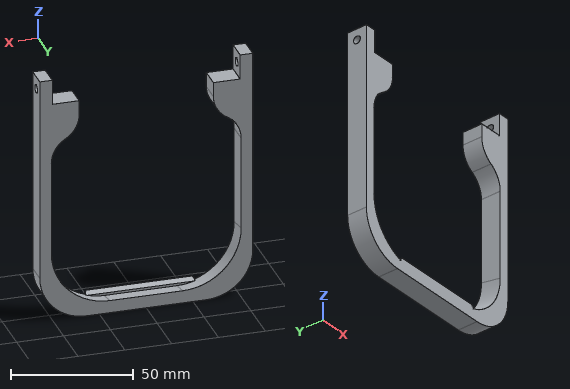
import cadquery as cq
import math

WIDTH = 91.0
DEPTH = 10.0
HEIGHT = 109.0
HALF_WIDTH = WIDTH / 2
OUTER_RADIUS = 20.0

WALL = 5.0
INNER_RADIUS = 25.0
FRONT_FLOOR = 3.8
FLOOR_ANGLE = 10.0
INNER_HALF = HALF_WIDTH - WALL
FLOOR_RISE = DEPTH * math.tan(math.radians(FLOOR_ANGLE))
SPLIT_HEIGHT = 49.0

TAB_THICKNESS = 5.5
TAB_HEIGHT = 10.9
NOSE_REACH = 16.9
NOSE_FACE = 6.3
NOSE_ARC_ANGLE = 60.0
HOLE_DIAMETER = 3.6
HOLE_DROP = 5.5

LIP_LENGTH = 46.7
LIP_DEPTH = 2.0
LIP_FRONT_HEIGHT = 6.8
LIP_BACK_HEIGHT = 5.2
LIP_END_BEVEL = 0.8


def outer_block():
    block = cq.Workplane("XY").box(WIDTH, DEPTH, HEIGHT, centered=(True, False, False))
    return block.edges("|Y and <Z").fillet(OUTER_RADIUS)


def lower_opening():
    """Rounded-bottom opening swept backwards along the rising floor."""
    height = SPLIT_HEIGHT - FRONT_FLOOR
    front = (
        cq.Workplane("XZ")
        .center(0, FRONT_FLOOR + height / 2)
        .rect(2 * INNER_HALF, height)
        .extrude(-DEPTH)
        .edges("|Y and <Z")
        .fillet(INNER_RADIUS)
        .faces("<Y")
        .wires()
        .val()
    )
    sweep = cq.Vector(0, DEPTH, FLOOR_RISE)
    return cq.Workplane(obj=cq.Solid.extrudeLinear(front, [], sweep))


def upper_opening():
    return (
        cq.Workplane("XY")
        .workplane(offset=SPLIT_HEIGHT)
        .rect(2 * INNER_HALF, 2 * DEPTH)
        .extrude(HEIGHT - SPLIT_HEIGHT)
    )


def left_nose_and_tab():
    """Tab and nose; two equal tangent arcs lead the nose back to the wall."""
    wall_x = -INNER_HALF
    tab_x = -HALF_WIDTH + TAB_THICKNESS
    nose_x = -HALF_WIDTH + NOSE_REACH
    shelf_z = HEIGHT - TAB_HEIGHT
    arc_top = shelf_z - NOSE_FACE
    angle = math.radians(NOSE_ARC_ANGLE)
    radius = (nose_x - wall_x) / (2 * (1 - math.cos(angle)))
    arc_drop = radius * math.sin(angle)
    mid_side = radius * (1 - math.cos(angle / 2))
    mid_drop = radius * math.sin(angle / 2)
    arc_bottom = arc_top - 2 * arc_drop
    return (
        cq.Workplane("XZ")
        .moveTo(-HALF_WIDTH, HEIGHT)
        .lineTo(tab_x, HEIGHT)
        .lineTo(tab_x, shelf_z)
        .lineTo(nose_x, shelf_z)
        .lineTo(nose_x, arc_top)
        .threePointArc((nose_x - mid_side, arc_top - mid_drop), ((nose_x + wall_x) / 2, arc_top - arc_drop))
        .threePointArc((wall_x + mid_side, arc_bottom + mid_drop), (wall_x, arc_bottom))
        .lineTo(-HALF_WIDTH, arc_bottom)
        .close()
        .extrude(-DEPTH)
    )


def lip():
    """Ridge sloping down towards the back, with bevelled upper corners at its ends."""
    base_z = FRONT_FLOOR / 2
    bar = (
        cq.Workplane("XY")
        .workplane(offset=base_z)
        .rect(LIP_LENGTH, 2 * LIP_DEPTH)
        .extrude(LIP_FRONT_HEIGHT - base_z)
        .edges("|Y and >Z")
        .chamfer(LIP_END_BEVEL)
    )
    wedge = (
        cq.Workplane("YZ")
        .moveTo(0, base_z)
        .lineTo(LIP_DEPTH, base_z)
        .lineTo(LIP_DEPTH, LIP_BACK_HEIGHT)
        .lineTo(0, LIP_FRONT_HEIGHT)
        .close()
        .extrude(LIP_LENGTH / 2, both=True)
    )
    return bar.intersect(wedge)


def tab_holes():
    return (
        cq.Workplane("YZ")
        .center(DEPTH / 2, HEIGHT - HOLE_DROP)
        .circle(HOLE_DIAMETER / 2)
        .extrude(HALF_WIDTH, both=True)
    )


frame = outer_block().cut(lower_opening()).cut(upper_opening())
nose = left_nose_and_tab()
frame = frame.union(nose).union(nose.mirror("YZ"))
result = frame.union(lip()).cut(tab_holes())